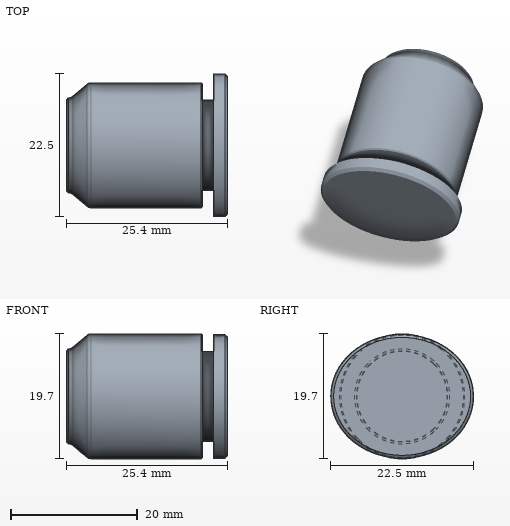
import cadquery as cq
import math

total_length = 25.4

body_radius = 9.85
body_end = 21.4
body_end_chamfer = 0.2
nose_radius = 7.5
nose_tip_chamfer = 0.3
taper_start = 0.7
taper_angle = math.radians(40)
taper_blend_radius = 1.0
neck_radius = 7.1

flange_start = 23.2
flange_half_width = 11.25
flange_half_height = 9.75
flange_chamfer = 0.45

taper_end = taper_start + (body_radius - nose_radius) / math.tan(taper_angle)
blend_setback = taper_blend_radius * math.tan(taper_angle / 2)
blend_run = blend_setback * math.cos(taper_angle)
blend_rise = blend_setback * math.sin(taper_angle)
half_sweep_run = taper_blend_radius * math.sin(taper_angle / 2)
half_sweep_rise = taper_blend_radius * (1 - math.cos(taper_angle / 2))
nose_blend_start = taper_start - blend_setback
body_blend_end = taper_end + blend_setback


def make_plug():
    """Nose, taper, body and neck, turned about the X axis."""
    profile = (
        cq.Workplane("XZ")
        .moveTo(0, 0)
        .lineTo(0, nose_radius - nose_tip_chamfer)
        .lineTo(nose_tip_chamfer, nose_radius)
        .lineTo(nose_blend_start, nose_radius)
        .threePointArc(
            (nose_blend_start + half_sweep_run, nose_radius + half_sweep_rise),
            (taper_start + blend_run, nose_radius + blend_rise),
        )
        .lineTo(taper_end - blend_run, body_radius - blend_rise)
        .threePointArc(
            (body_blend_end - half_sweep_run, body_radius - half_sweep_rise),
            (body_blend_end, body_radius),
        )
        .lineTo(body_end - body_end_chamfer, body_radius)
        .lineTo(body_end, body_radius - body_end_chamfer)
        .lineTo(body_end, neck_radius)
        .lineTo(flange_start, neck_radius)
        .lineTo(flange_start, 0)
        .close()
    )
    return profile.revolve(360, (0, 0, 0), (1, 0, 0))


def make_flange():
    """Elliptical flange, wider along Y, with its outer rim chamfered."""
    return (
        cq.Workplane("YZ", origin=(flange_start, 0, 0))
        .ellipse(flange_half_width, flange_half_height)
        .extrude(total_length - flange_start)
        .faces(">X")
        .chamfer(flange_chamfer)
    )


result = make_plug().union(make_flange())